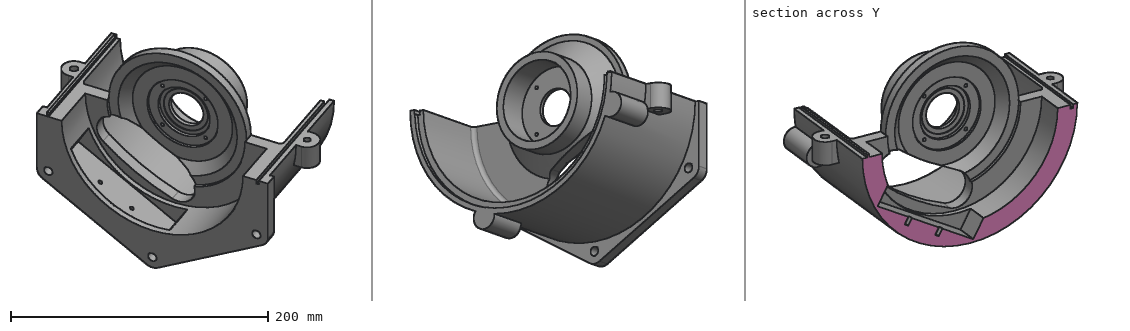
import cadquery as cq
import math


overall_width = 224
length = 120.0
shell_radius = 97.5
front_chamber_radius = 79.3
front_chamber_depth = 40.3
rear_chamber_radius = 87.5
rear_chamber_start = 50.8
rear_chamber_fillet = 3.5
rear_recess_radius = 93.0
rear_recess_depth = 4.0

plate_thickness = 10.5
plate_bolt_circle = 105.0
plate_corner_radius = 10.0
plate_hole_radius = 3.7
plate_bolt_angles = (210, 270, 330)
plate_edge_slope = 30

flange_radius = 60.3
flange_front = 43.2
neck_radius = 39.0
cone_base_radius = 55.0
neck_start = rear_chamber_start + cone_base_radius - neck_radius
neck_end = 85.8

dish_mouth_radius = 52.0
dish_floor_radius = 43.7
dish_floor = flange_front + dish_mouth_radius - dish_floor_radius
spigot_radius = 31.0
spigot_depth = 2.5
seat_radius = 22.6
seat_depth = 3.0
step_radius = 19.3
step_depth = 0.7
bore_radius = 15.0
bore_depth = 3.5
rear_bore_radius = 32.5
screw_offset = 18.8
screw_radius = 1.3
screw_depth = 6.7

slot_radius = 14.8
slot_start = (-54.5, -29.5)
slot_middle = (-27.8, -48.4)
slot_end = (1.5, -62.0)

pocket_tilt = plate_edge_slope
pocket_width = 99.5
pocket_floor_distance = 80.2
pocket_front = 5.4
pocket_back = 35.6
pocket_hole_spacing = 31.8
pocket_hole_y = 16.4
pocket_hole_radius = 1.5
pocket_hole_depth = 6.7

ear_center_x = 102.0
ear_center_y = 65.2
ear_radius = overall_width / 2 - ear_center_x
ear_height = 20.2
left_ear_hole_radius = 3.4
right_ear_hole_radius = 2.7

boss_circle = 100.1
boss_radius = 10.0
boss_start = 85.1
boss_angles = (195, 285)

seal_center_x = 92.0
seal_width = 2.2
bead_height = 2.2
bead_front = 2.0
bead_back = length - rear_recess_depth
groove_depth = 3.4


def polar(radius, angle):
    return radius * math.cos(math.radians(angle)), radius * math.sin(math.radians(angle))


def section(y):
    """Sketch plane across the hub axis at the given Y; positive extrusion runs towards -Y."""
    return cq.Workplane("XZ", origin=(0, y, 0))


def rod(radius, y_start, y_end):
    return section(y_start).circle(radius).extrude(y_start - y_end)


def box(x_range, y_range, z_range):
    lows, highs = zip(x_range, y_range, z_range)
    sizes = [high - low for low, high in zip(lows, highs)]
    return cq.Workplane("XY").box(*sizes, centered=False).translate(lows)


def lower_half(shape):
    reach = 2 * length
    return shape.intersect(box((-reach, reach), (-reach, reach), (-reach, 0)))


def front_plate():
    side_x = polar(plate_bolt_circle, plate_bolt_angles[-1])[0]
    half_width = side_x + plate_corner_radius
    slope_angle = math.radians(plate_edge_slope)
    tip_z = -plate_bolt_circle - plate_corner_radius / math.cos(slope_angle)
    shoulder_z = tip_z + half_width * math.tan(slope_angle)
    outline = [
        (-half_width, 0),
        (half_width, 0),
        (half_width, shoulder_z),
        (0, tip_z),
        (-half_width, shoulder_z),
    ]
    plate = section(0).polyline(outline).close().extrude(-plate_thickness)
    return plate.edges("|Y").edges("not >Z").fillet(plate_corner_radius)


def plate_holes():
    centers = [polar(plate_bolt_circle, angle) for angle in plate_bolt_angles]
    return section(0).pushPoints(centers).circle(plate_hole_radius).extrude(-plate_thickness)


def ear(side, hole_radius):
    center = (side * ear_center_x, ear_center_y)
    end = cq.Workplane("XY").center(*center).circle(ear_radius).extrude(-ear_height)
    web = box(
        sorted((side * rear_recess_radius, side * ear_center_x)),
        (ear_center_y - ear_radius, ear_center_y + ear_radius),
        (-ear_height, 0),
    )
    hole = cq.Workplane("XY").center(*center).circle(hole_radius).extrude(-ear_height)
    return end.union(web).cut(hole)


def bosses():
    centers = [polar(boss_circle, angle) for angle in boss_angles]
    return section(boss_start).pushPoints(centers).circle(boss_radius).extrude(boss_start - length)


def chambers():
    front = rod(front_chamber_radius, 0, front_chamber_depth)
    rear = rod(rear_chamber_radius, rear_chamber_start, length)
    rear = rear.faces("<Y").edges().fillet(rear_chamber_fillet)
    recess = rod(rear_recess_radius, length - rear_recess_depth, length)
    flange_clearance = rod(flange_radius, front_chamber_depth, flange_front)
    return front.union(rear).union(recess).union(flange_clearance)


def hub():
    profile = [
        (0, flange_front),
        (flange_radius, flange_front),
        (flange_radius, rear_chamber_start),
        (cone_base_radius, rear_chamber_start),
        (neck_radius, neck_start),
        (neck_radius, neck_end),
        (0, neck_end),
    ]
    return cq.Workplane("XY").polyline(profile).close().revolve(360, (0, 0), (0, 1))


def hub_hollow():
    spigot_floor = dish_floor + spigot_depth
    seat_floor = spigot_floor + seat_depth
    step_floor = seat_floor + step_depth
    rear_bore_floor = step_floor + bore_depth
    profile = [
        (0, flange_front),
        (dish_mouth_radius, flange_front),
        (dish_floor_radius, dish_floor),
        (spigot_radius, dish_floor),
        (spigot_radius, spigot_floor),
        (seat_radius, spigot_floor),
        (seat_radius, seat_floor),
        (step_radius, seat_floor),
        (step_radius, step_floor),
        (bore_radius, step_floor),
        (bore_radius, rear_bore_floor),
        (rear_bore_radius, rear_bore_floor),
        (rear_bore_radius, neck_end),
        (0, neck_end),
    ]
    hollow = cq.Workplane("XY").polyline(profile).close().revolve(360, (0, 0), (0, 1))
    screws = (
        section(spigot_floor)
        .rect(2 * screw_offset, 2 * screw_offset, forConstruction=True)
        .vertices()
        .circle(screw_radius)
        .extrude(-screw_depth)
    )
    return hollow.union(screws)


def curved_slot():
    """Slot of constant width along an arc, with round ends, through the wall and the hub cone."""
    path_points = [cq.Vector(x, 0, z) for x, z in (slot_start, slot_middle, slot_end)]
    path = cq.Edge.makeThreePointArc(*path_points)
    center = path.arcCenter()
    path_radius = path.radius()

    def on_arc(point, offset):
        """Shift a path point away from the arc center."""
        dx, dz = point[0] - center.x, point[1] - center.z
        scale = (path_radius + offset) / path_radius
        return center.x + dx * scale, center.z + dz * scale

    def past_end(point, sign):
        """Tip of a round end, beyond the path point along its tangent."""
        dx, dz = point[0] - center.x, point[1] - center.z
        reach = sign * slot_radius / path_radius
        return point[0] - dz * reach, point[1] + dx * reach

    return (
        section(front_chamber_depth)
        .moveTo(*on_arc(slot_start, slot_radius))
        .threePointArc(on_arc(slot_middle, slot_radius), on_arc(slot_end, slot_radius))
        .threePointArc(past_end(slot_end, 1), on_arc(slot_end, -slot_radius))
        .threePointArc(on_arc(slot_middle, -slot_radius), on_arc(slot_start, -slot_radius))
        .threePointArc(past_end(slot_start, -1), on_arc(slot_start, slot_radius))
        .close()
        .extrude(front_chamber_depth - neck_end)
    )


def tilted_pocket():
    """Box pocket with two blind holes in its floor, turned about the hub axis."""
    pocket = box(
        (-pocket_width / 2, pocket_width / 2),
        (pocket_front, pocket_back),
        (-pocket_floor_distance, 0),
    )
    holes = (
        cq.Workplane("XY", origin=(0, pocket_hole_y, -pocket_floor_distance))
        .pushPoints([(-pocket_hole_spacing / 2, 0), (pocket_hole_spacing / 2, 0)])
        .circle(pocket_hole_radius)
        .extrude(-pocket_hole_depth)
    )
    return pocket.union(holes).rotate((0, 0, 0), (0, 1, 0), pocket_tilt)


def seal(side, y_range, z_range):
    center = side * seal_center_x
    return box((center - seal_width / 2, center + seal_width / 2), y_range, z_range)


housing = lower_half(rod(shell_radius, 0, length)).union(front_plate()).union(bosses())
housing = housing.union(ear(-1, left_ear_hole_radius)).union(ear(1, right_ear_hole_radius))
housing = housing.cut(chambers()).cut(plate_holes()).cut(tilted_pocket())
housing = housing.union(seal(-1, (bead_front, bead_back), (-bead_height, bead_height)))
housing = housing.cut(seal(1, (0, length), (-groove_depth, 0)))

result = housing.union(hub()).cut(hub_hollow()).cut(curved_slot())